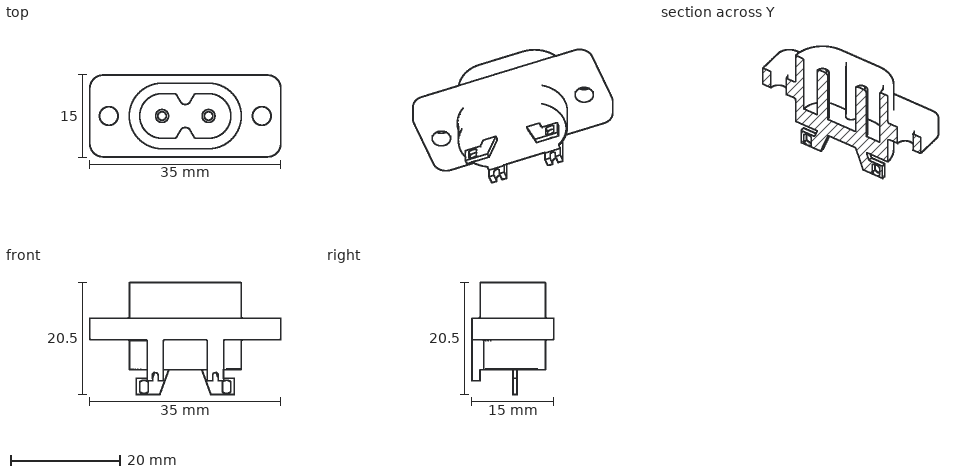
import cadquery as cq
import math

PICK_MARGIN = 0.05

FLANGE_LENGTH = 35.0
FLANGE_WIDTH = 15.0
FLANGE_THICKNESS = 4.0
FLANGE_CORNER_RADIUS = 2.5
EDGE_RADIUS = 0.2
SCREW_HOLE_DIAMETER = 3.35
SCREW_HOLE_SPACING = 28.0
SCREW_POSITIONS = (-SCREW_HOLE_SPACING / 2, SCREW_HOLE_SPACING / 2)

PIN_SPACING = 8.5
PIN_POSITIONS = (-PIN_SPACING / 2, PIN_SPACING / 2)
BODY_WIDTH = 12.0
BODY_TOP = 6.5
BODY_HEIGHT_BELOW = 5.5
FLANGE_BOTTOM = -FLANGE_THICKNESS
BODY_BOTTOM = FLANGE_BOTTOM - BODY_HEIGHT_BELOW

CAVITY_WIDTH = 8.2
CAVITY_DEPTH = 12.0
CAVITY_FLOOR = BODY_TOP - CAVITY_DEPTH
CAVITY_LIP_RADIUS = 0.5
RIB_HALF_ANGLE = math.radians(30)
RIB_TIP_Y = 2.1
RIB_TIP_RADIUS = 1.0
RIB_ROOT_RADIUS = 0.5

PIN_DIAMETER = 2.38
PIN_CHAMFER = 0.42
PIN_TOP_BELOW_RIM = 1.0

LEG_SPACING = 11.0
LEG_POSITIONS = (-LEG_SPACING / 2, LEG_SPACING / 2)
LEG_WIDTH = 3.0
LEG_LENGTH_BELOW_BODY = 2.0
LEG_SLOT_WIDTH = 1.0
LEG_SLOT_HEIGHT = 1.5
LEG_BOTTOM = BODY_BOTTOM - LEG_LENGTH_BELOW_BODY
LEG_FRONT = -FLANGE_WIDTH / 2
LEG_BACK = -BODY_WIDTH / 2

TERMINAL_THICKNESS = 0.8
TERMINAL_LENGTH = 4.5
TERMINAL_ROOT_WIDTH = 2.5
TERMINAL_TAB_END_X = 9.0
TERMINAL_TAB_HEIGHT = 3.0
TERMINAL_SPLAY = 1.65
TERMINAL_BOTTOM = BODY_BOTTOM - TERMINAL_LENGTH
TERMINAL_HOLE_WIDTH = 1.5
TERMINAL_HOLE_HEIGHT = 2.38
TERMINAL_HOLE_ARC_RISE = 0.28
TERMINAL_HOLE_X = 7.55
TERMINAL_HOLE_RAISE = 1.4
TERMINAL_HOLE_Z = TERMINAL_BOTTOM + TERMINAL_HOLE_RAISE


def box(x_min, x_max, y_min, y_max, z_min, z_max):
    size = (x_max - x_min, y_max - y_min, z_max - z_min)
    return cq.Workplane("XY").box(*size, centered=False).translate((x_min, y_min, z_min))


def stadium(width, z_min, z_max):
    """Round-ended prism whose end arcs are centred on the two pins."""
    return (
        cq.Workplane("XY", origin=(0, 0, z_min))
        .slot2D(PIN_SPACING + width, width)
        .extrude(z_max - z_min)
    )


def make_flange():
    return (
        cq.Workplane("XY")
        .rect(FLANGE_LENGTH, FLANGE_WIDTH)
        .extrude(FLANGE_BOTTOM)
        .edges("|Z")
        .fillet(FLANGE_CORNER_RADIUS)
    )


def make_leg(x):
    left = x - LEG_WIDTH / 2
    right = x + LEG_WIDTH / 2
    post = box(left, right, LEG_FRONT, LEG_BACK, LEG_BOTTOM, FLANGE_BOTTOM)
    web = box(left, right, LEG_FRONT, LEG_BACK / 2, BODY_BOTTOM, FLANGE_BOTTOM)
    return post.union(web)


def make_shell():
    """Flange, body and legs, with rounded body rims and rounded roots where they leave the flange."""
    body = stadium(BODY_WIDTH, BODY_BOTTOM, BODY_TOP).faces("<Z or >Z").edges().fillet(EDGE_RADIUS)
    shell = make_flange().union(body)
    for x in LEG_POSITIONS:
        shell = shell.union(make_leg(x))
    reach_x = (PIN_SPACING + BODY_WIDTH) / 2 + PICK_MARGIN
    reach_y = FLANGE_WIDTH / 2 - PICK_MARGIN
    for z in (0, FLANGE_BOTTOM):
        roots = cq.selectors.BoxSelector(
            (-reach_x, -reach_y, z - PICK_MARGIN),
            (reach_x, reach_y, z + PICK_MARGIN),
        )
        shell = shell.edges(roots).fillet(EDGE_RADIUS)
    return shell


def make_leg_slot(x):
    """Round-topped slot cut through the foot of a leg from front to back."""
    radius = LEG_SLOT_WIDTH / 2
    straight_top = LEG_BOTTOM + LEG_SLOT_HEIGHT - radius
    return (
        cq.Workplane("XZ", origin=(0, LEG_BACK, 0))
        .moveTo(x - radius, LEG_BOTTOM)
        .lineTo(x - radius, straight_top)
        .threePointArc((x, straight_top + radius), (x + radius, straight_top))
        .lineTo(x + radius, LEG_BOTTOM)
        .close()
        .extrude(LEG_BACK - LEG_FRONT)
    )


def round_front_edges(part):
    """Round the front edges of flange and legs; tangent edges carry the rounding around both rims."""
    straight_end = FLANGE_LENGTH / 2 - FLANGE_CORNER_RADIUS - PICK_MARGIN
    front_edges = cq.selectors.BoxSelector(
        (-straight_end, LEG_FRONT - PICK_MARGIN, BODY_BOTTOM),
        (straight_end, LEG_FRONT + PICK_MARGIN, PICK_MARGIN),
    )
    return part.edges(front_edges).fillet(EDGE_RADIUS)


def make_screw_hole(x):
    """Through hole cutter, flared at the top to round the hole's rim."""
    radius = SCREW_HOLE_DIAMETER / 2
    rim_radius = radius + EDGE_RADIUS
    middle = EDGE_RADIUS * (1 - math.sqrt(0.5))
    return (
        cq.Workplane("XZ")
        .moveTo(0, 0)
        .lineTo(rim_radius, 0)
        .threePointArc((radius + middle, -middle), (radius, -EDGE_RADIUS))
        .lineTo(radius, FLANGE_BOTTOM)
        .lineTo(0, FLANGE_BOTTOM)
        .close()
        .revolve(360, (0, 0, 0), (0, 1, 0))
        .translate((x, 0, 0))
    )


def make_keying_rib(side):
    """V-shaped prism pointing to the centre from the +Y (side = 1) or -Y (side = -1) wall."""
    outer_y = BODY_WIDTH / 2
    apex_y = RIB_TIP_Y + RIB_TIP_RADIUS - RIB_TIP_RADIUS / math.sin(RIB_HALF_ANGLE)
    half_width = (outer_y - apex_y) * math.tan(RIB_HALF_ANGLE)
    return (
        cq.Workplane("XY", origin=(0, 0, CAVITY_FLOOR))
        .polyline([(-half_width, side * outer_y), (0, side * apex_y), (half_width, side * outer_y)])
        .close()
        .extrude(CAVITY_DEPTH)
        .edges(cq.selectors.NearestToPointSelector((0, side * apex_y, BODY_TOP - CAVITY_DEPTH / 2)))
        .fillet(RIB_TIP_RADIUS)
    )


def make_cavity():
    """Cavity cutter with rounded rib roots."""
    cavity = stadium(CAVITY_WIDTH, CAVITY_FLOOR, BODY_TOP)
    for side in (1, -1):
        cavity = cavity.cut(make_keying_rib(side))
    wall_y = CAVITY_WIDTH / 2
    inside_pins = PIN_SPACING / 2 - PICK_MARGIN
    for side in (1, -1):
        rib_roots = cq.selectors.BoxSelector(
            (-inside_pins, side * wall_y - PICK_MARGIN, CAVITY_FLOOR + PICK_MARGIN),
            (inside_pins, side * wall_y + PICK_MARGIN, BODY_TOP - PICK_MARGIN),
        )
        cavity = cavity.edges(rib_roots).fillet(RIB_ROOT_RADIUS)
    return cavity


def round_cavity_lip(part):
    lip_reach = (PIN_SPACING + CAVITY_WIDTH) / 2 + CAVITY_LIP_RADIUS
    lip_zone = cq.selectors.BoxSelector(
        (-lip_reach, -CAVITY_WIDTH / 2 - CAVITY_LIP_RADIUS, BODY_TOP - EDGE_RADIUS),
        (lip_reach, CAVITY_WIDTH / 2 + CAVITY_LIP_RADIUS, BODY_TOP + EDGE_RADIUS),
        boundingbox=True,
    )
    return part.edges(lip_zone).fillet(CAVITY_LIP_RADIUS)


def make_pin(x):
    return (
        cq.Workplane("XY", origin=(x, 0, CAVITY_FLOOR))
        .circle(PIN_DIAMETER / 2)
        .extrude(CAVITY_DEPTH - PIN_TOP_BELOW_RIM)
        .faces(">Z")
        .chamfer(PIN_CHAMFER)
    )


def make_terminal():
    """Terminal on the +X side: a slanted blade ending in an outward tab with a bulged hole."""
    root_inner_x = (PIN_SPACING - TERMINAL_ROOT_WIDTH) / 2
    root_outer_x = root_inner_x + TERMINAL_ROOT_WIDTH
    tab_top = TERMINAL_BOTTOM + TERMINAL_TAB_HEIGHT
    splay_at_tab = TERMINAL_SPLAY * (BODY_BOTTOM - tab_top) / TERMINAL_LENGTH
    outline = [
        (root_inner_x, BODY_BOTTOM),
        (root_outer_x, BODY_BOTTOM),
        (root_outer_x + splay_at_tab, tab_top),
        (TERMINAL_TAB_END_X, tab_top),
        (TERMINAL_TAB_END_X, TERMINAL_BOTTOM),
        (root_inner_x + TERMINAL_SPLAY, TERMINAL_BOTTOM),
    ]
    blade = cq.Workplane("XZ").polyline(outline).close().extrude(-TERMINAL_THICKNESS)

    hole_left = TERMINAL_HOLE_X - TERMINAL_HOLE_WIDTH / 2
    hole_right = TERMINAL_HOLE_X + TERMINAL_HOLE_WIDTH / 2
    hole_top = TERMINAL_HOLE_Z + TERMINAL_HOLE_HEIGHT / 2
    hole_bottom = TERMINAL_HOLE_Z - TERMINAL_HOLE_HEIGHT / 2
    side_top = hole_top - TERMINAL_HOLE_ARC_RISE
    side_bottom = hole_bottom + TERMINAL_HOLE_ARC_RISE
    hole = (
        cq.Workplane("XZ")
        .moveTo(hole_left, side_bottom)
        .lineTo(hole_left, side_top)
        .threePointArc((TERMINAL_HOLE_X, hole_top), (hole_right, side_top))
        .lineTo(hole_right, side_bottom)
        .threePointArc((TERMINAL_HOLE_X, hole_bottom), (hole_left, side_bottom))
        .close()
        .extrude(-TERMINAL_THICKNESS)
    )
    return blade.cut(hole)


part = round_front_edges(make_shell())
for x in LEG_POSITIONS:
    part = part.cut(make_leg_slot(x))
for x in SCREW_POSITIONS:
    part = part.cut(make_screw_hole(x))

part = round_cavity_lip(part.cut(make_cavity()))
for x in PIN_POSITIONS:
    part = part.union(make_pin(x))

terminal = make_terminal()
result = part.union(terminal).union(terminal.mirror("YZ"))